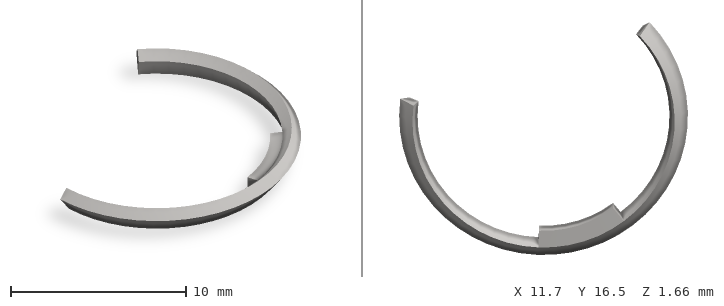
import cadquery as cq

outer_radius = 8.23
crest_radius = 7.7
inner_radius = 7.18
keel_radius = 7.47
height = 1.66
widest_height = 1.14
keel_height = 0.05
ring_half_angle = 115.0

pad_inner_radius = 6.47
pad_top = 1.05
pad_half_angle = 20.0


def swept_section(points, half_angle):
    """Revolve (radius, height) points about Z, centred on the +X direction."""
    full_angle = 2 * half_angle
    solid = cq.Workplane("XZ").polyline(points).close().revolve(full_angle, (0, 0, 0), (0, -1, 0))
    return solid.rotate((0, 0, 0), (0, 0, 1), half_angle)


def make_ring():
    kite = [
        (outer_radius, widest_height),
        (crest_radius, height),
        (inner_radius, widest_height),
        (keel_radius, keel_height),
    ]
    return swept_section(kite, ring_half_angle)


def make_pad():
    """The pad covers the whole inner face of the ring and drops slightly towards its own inner face."""
    section = [
        (pad_inner_radius, 0),
        (keel_radius, keel_height),
        (inner_radius, widest_height),
        (pad_inner_radius, pad_top),
    ]
    return swept_section(section, pad_half_angle)


result = make_ring().union(make_pad())